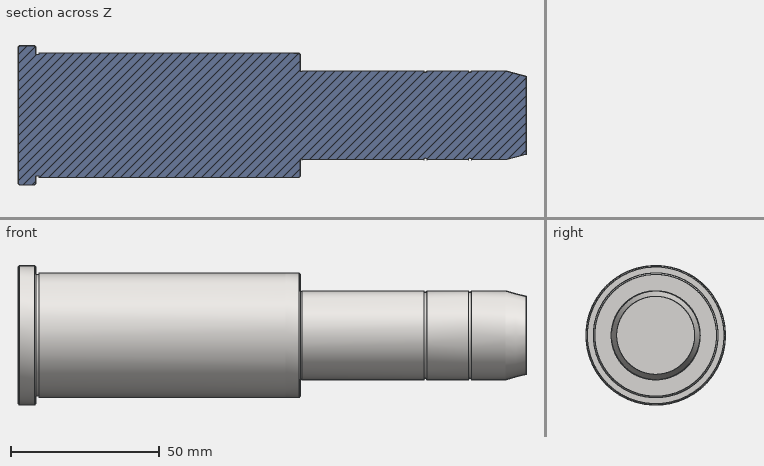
import cadquery as cq
import math

total_length = 171.0
flange_length = 6.0
undercut_length = 1.0
pin_start = 95.0
lead_taper_length = 5.0
root_relief_length = 0.5
tip_length = 7.0

flange_diameter = 47.0
body_diameter = 42.0
undercut_diameter = 41.0
pin_diameter = 30.0

flange_chamfer = 0.5
body_chamfer = 0.5
lead_taper_drop = 0.01
root_relief_depth = 0.2
tip_angle = 15.0

groove_radius = 0.5
first_groove_center = 137.0
groove_pitch = 15.0
groove_count = 2


def pillar_profile():
    """Half outline of the pillar as (axial position, radius) points."""
    undercut_end = flange_length + undercut_length
    root_relief_end = pin_start + root_relief_length
    flange_radius = flange_diameter / 2
    undercut_radius = undercut_diameter / 2
    body_radius = body_diameter / 2
    body_end_radius = body_radius - lead_taper_drop
    pin_radius = pin_diameter / 2
    root_radius = pin_radius - root_relief_depth
    tip_radius = pin_radius - tip_length * math.tan(math.radians(tip_angle))
    return [
        (0, 0),
        (0, flange_radius - flange_chamfer),
        (flange_chamfer, flange_radius),
        (flange_length - flange_chamfer, flange_radius),
        (flange_length, flange_radius - flange_chamfer),
        (flange_length, undercut_radius),
        (undercut_end, undercut_radius),
        (undercut_end, body_radius),
        (pin_start - lead_taper_length, body_radius),
        (pin_start - body_chamfer, body_end_radius),
        (pin_start, body_end_radius - body_chamfer),
        (pin_start, root_radius),
        (root_relief_end, root_radius),
        (root_relief_end, pin_radius),
        (total_length - tip_length, pin_radius),
        (total_length, tip_radius),
        (total_length, 0),
    ]


def groove_ring(center):
    """Round ring, centred on the pin surface, that cuts one half-round groove."""
    pin_radius = pin_diameter / 2
    return (
        cq.Workplane("XY", origin=(center, pin_radius, 0))
        .circle(groove_radius)
        .revolve(360, (0, -pin_radius, 0), (1, -pin_radius, 0))
    )


pillar = (
    cq.Workplane("XY")
    .polyline(pillar_profile())
    .close()
    .revolve(360, (0, 0, 0), (1, 0, 0))
)
for index in range(groove_count):
    pillar = pillar.cut(groove_ring(first_groove_center + index * groove_pitch))

result = pillar